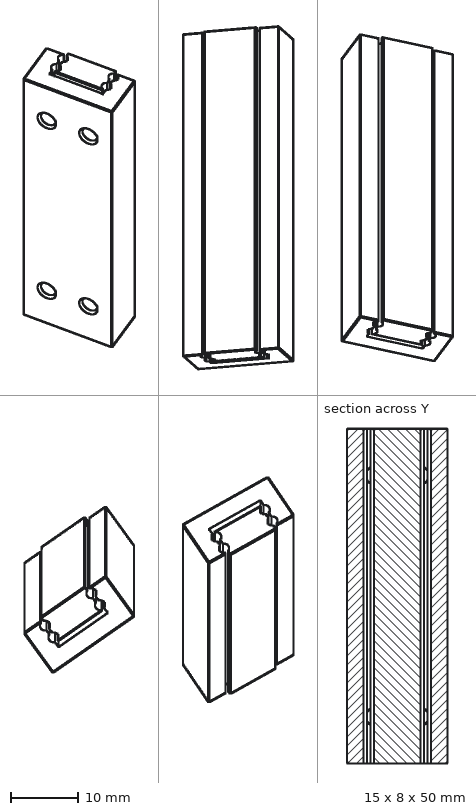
import cadquery as cq

length = 50
rail_width = 15
rail_height = 7.5
total_height = 8
edge_chamfer = 0.15

channel_half_width = 4.5
channel_floor = 2.75
carriage_half_width = 4
carriage_bottom = 3.5

track_diameter = 1.5
track_x = (channel_half_width + carriage_half_width) / 2
track_heights = (4.4, 6.6)

hole_diameter = 2.5
hole_mouth_diameter = 3.1
hole_mouth_depth = 0.5
hole_spacing_x = 7
hole_spacing_z = 36


def ball_tracks():
    """Round bars along the full length, used to cut the track grooves."""
    centers = [(side * track_x, height) for side in (-1, 1) for height in track_heights]
    return cq.Workplane("XY").pushPoints(centers).circle(track_diameter / 2).extrude(length)


def mounting_holes():
    """Cutters for the holes from the back face to the channel floor, with countersunk mouths."""
    profile = (
        cq.Workplane("XY")
        .lineTo(hole_mouth_diameter / 2, 0)
        .lineTo(hole_diameter / 2, hole_mouth_depth)
        .lineTo(hole_diameter / 2, channel_floor)
        .lineTo(0, channel_floor)
        .close()
    )
    hole = profile.revolve(360, (0, 0, 0), (0, 1, 0))
    holes = cq.Workplane("XY")
    for x in (-hole_spacing_x / 2, hole_spacing_x / 2):
        for z in ((length - hole_spacing_z) / 2, (length + hole_spacing_z) / 2):
            holes = holes.add(hole.translate((x, 0, z)))
    return holes.combine()


def make_rail():
    """Channel-shaped rail, chamfered on its outer edges and sharp along the channel."""
    block = (
        cq.Workplane("XY")
        .box(rail_width, rail_height, length, centered=(True, False, False))
        .edges()
        .chamfer(edge_chamfer)
    )
    channel = (
        cq.Workplane("XY")
        .box(2 * channel_half_width, rail_height, length, centered=(True, False, False))
        .translate((0, channel_floor, 0))
    )
    return block.cut(channel).cut(ball_tracks()).cut(mounting_holes())


def make_carriage():
    """Carriage bar, chamfered all round its outer face and at the two ends of its inner face."""
    carriage_height = total_height - carriage_bottom
    block = (
        cq.Workplane("XY")
        .box(2 * carriage_half_width, carriage_height, length, centered=(True, False, False))
        .translate((0, carriage_bottom, 0))
    )
    block = block.faces(">Y").edges().chamfer(edge_chamfer)
    block = block.faces("<Y").edges("|X").chamfer(edge_chamfer)
    return block.cut(ball_tracks())


rail = make_rail()
carriage = make_carriage()
result = cq.Compound.makeCompound([rail.val(), carriage.val()])